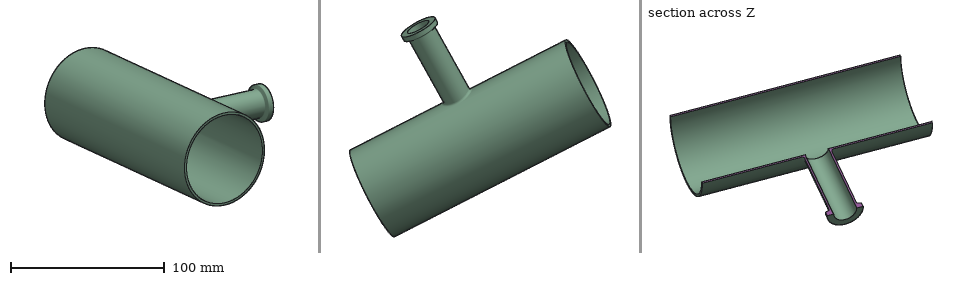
import cadquery as cq
import math

RUN_LENGTH = 158.75
RUN_OUTER_DIA = 63.5
WALL = 1.65
RUN_BORE_DIA = RUN_OUTER_DIA - 2 * WALL

BRANCH_REACH = 85.725
BRANCH_OUTER_DIA = 19.05
BRANCH_BORE_DIA = BRANCH_OUTER_DIA - 2 * WALL
WELD_FILLET = 1.5

FLANGE_DIA = 24.99
FLANGE_RIM_DEPTH = 3.6
BEVEL_ANGLE = 20
BEVEL_HEIGHT = (FLANGE_DIA - BRANCH_OUTER_DIA) / 2
BEVEL_END_DEPTH = FLANGE_RIM_DEPTH + BEVEL_HEIGHT * math.tan(math.radians(BEVEL_ANGLE))
RIM_FILLET = 0.4
NECK_FILLET = 0.5


def cylinder_along_x(diameter, length):
    return cq.Workplane("YZ").circle(diameter / 2).extrude(length / 2, both=True)


def cylinder_along_y(diameter, length):
    """Cylinder from the run axis outward along +Y."""
    return cq.Workplane("XZ").circle(diameter / 2).extrude(-length)


def ferrule():
    """Solid flange with a back face that bevels down to the branch diameter."""
    return (
        cq.Workplane("XY")
        .moveTo(0, BRANCH_REACH)
        .lineTo(FLANGE_DIA / 2, BRANCH_REACH)
        .lineTo(FLANGE_DIA / 2, BRANCH_REACH - FLANGE_RIM_DEPTH)
        .lineTo(BRANCH_OUTER_DIA / 2, BRANCH_REACH - BEVEL_END_DEPTH)
        .lineTo(0, BRANCH_REACH - BEVEL_END_DEPTH)
        .close()
        .revolve(360, (0, 0, 0), (0, 1, 0))
    )


def circle_at_depth(depth):
    """Selects the circular edge of the ferrule at a depth behind the branch end face."""
    margin = BRANCH_OUTER_DIA
    tolerance = 0.01
    y = BRANCH_REACH - depth
    return cq.selectors.BoxSelector(
        (-margin, y - tolerance, -margin),
        (margin, y + tolerance, margin),
        boundingbox=True,
    )


def branch():
    """Solid branch tube with its ferrule, the bevel rounded at both ends."""
    tube = cylinder_along_y(BRANCH_OUTER_DIA, BRANCH_REACH)
    return (
        tube.union(ferrule())
        .edges(circle_at_depth(FLANGE_RIM_DEPTH))
        .fillet(RIM_FILLET)
        .edges(circle_at_depth(BEVEL_END_DEPTH))
        .fillet(NECK_FILLET)
    )


def welded_tubes():
    """Solid run and branch, blended where they meet."""
    run = cylinder_along_x(RUN_OUTER_DIA, RUN_LENGTH)
    joint_zone = cq.selectors.BoxSelector(
        (-BRANCH_OUTER_DIA, RUN_OUTER_DIA / 4, -BRANCH_OUTER_DIA),
        (BRANCH_OUTER_DIA, BRANCH_REACH / 2, BRANCH_OUTER_DIA),
        boundingbox=True,
    )
    return run.union(branch()).edges(joint_zone).fillet(WELD_FILLET)


run_bore = cylinder_along_x(RUN_BORE_DIA, RUN_LENGTH)
branch_bore = cylinder_along_y(BRANCH_BORE_DIA, BRANCH_REACH)

result = welded_tubes().cut(run_bore).cut(branch_bore)